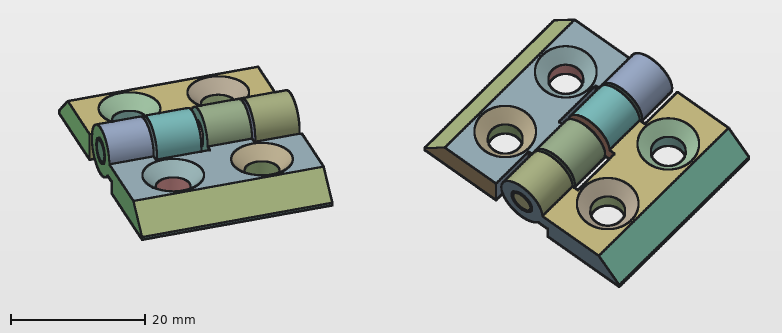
import cadquery as cq


total_width = 38.0
length = 30.0
plate_thickness = 4.5
plate_inner_edge = 5.0
bevel_width = 4.0
bevel_height = bevel_width
half_width = total_width / 2
edge_thickness = plate_thickness - bevel_height

axis_height = plate_thickness
knuckle_diameter = 8.0
knuckle_length = 7.0
middle_gap = 1.0
bore_diameter = 4.0
web_underside = 2.0
web_thickness = plate_thickness - web_underside

knuckle_starts = [-length / 2, middle_gap / 2]

screw_hole_diameter = 5.2
countersink_diameter = 9.2
countersink_angle = 90.0
screw_axis_distance = 10.0
screw_spacing = 14.0

pin_diameter = 3.4


def cylinder_along_y(diameter, y_start, cylinder_length):
    """Solid cylinder on the hinge axis, from y_start towards +Y."""
    return (
        cq.Workplane("XZ", origin=(0, y_start, axis_height))
        .circle(diameter / 2)
        .extrude(-cylinder_length)
    )


def make_plate():
    """Bevelled plate on the +X side of the hinge axis."""
    profile = [
        (plate_inner_edge, 0),
        (half_width, 0),
        (half_width, edge_thickness),
        (half_width - bevel_width, plate_thickness),
        (plate_inner_edge, plate_thickness),
    ]
    return cq.Workplane("XZ", origin=(0, -length / 2, 0)).polyline(profile).close().extrude(-length)


def make_knuckle(y_start):
    """Solid knuckle with the web that joins it to the plate."""
    web = (
        cq.Workplane("XY", origin=(0, y_start, web_underside))
        .box(plate_inner_edge, knuckle_length, web_thickness, centered=False)
    )
    return cylinder_along_y(knuckle_diameter, y_start, knuckle_length).union(web)


def make_leaf():
    """Leaf on the +X side: plate, two bored knuckles and two countersunk holes."""
    leaf = make_plate()
    for y_start in knuckle_starts:
        leaf = leaf.union(make_knuckle(y_start))
    leaf = leaf.cut(cylinder_along_y(bore_diameter, -length / 2, length))
    screw_points = [(screw_axis_distance, side * screw_spacing / 2) for side in (-1, 1)]
    return (
        leaf.copyWorkplane(cq.Workplane("XY", origin=(0, 0, plate_thickness)))
        .pushPoints(screw_points)
        .cskHole(screw_hole_diameter, countersink_diameter, countersink_angle)
    )


def make_pin():
    """Plain hinge pin."""
    return cylinder_along_y(pin_diameter, -length / 2, length)


leaves = [make_leaf().rotate((0, 0, 0), (0, 0, 1), turn) for turn in (0, 180)]
pin = make_pin()

leaf_solids = [leaf.solids().val() for leaf in leaves]
result = cq.Compound.makeCompound([*leaf_solids, pin.val()])